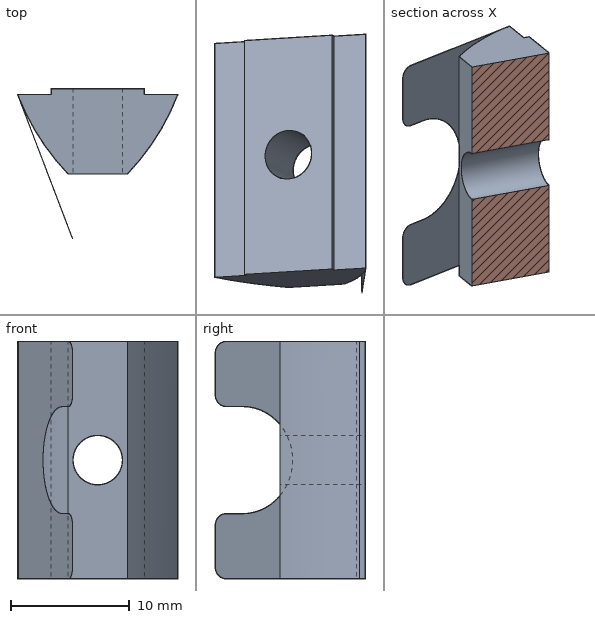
import cadquery as cq
import math

length = 20.0
body_half_width = 6.75
body_depth = 7.2
pad_half_width = 3.92
pad_height = 0.5
nose_half_width = 2.5
flank_radius = 20.0
hole_diameter = 4.15

leaf_thickness = 0.002
leaf_tip_x = -2.12
leaf_tip_y = -12.65
leaf_corner_radius = 1.0
slot_width = 9.0
slot_bottom_y = -6.12


def make_body():
    """Wedge with convex flanks, a raised pad and a through hole along Y."""
    profile = (
        cq.Workplane("XY")
        .moveTo(-pad_half_width, 0)
        .lineTo(pad_half_width, 0)
        .lineTo(pad_half_width, -pad_height)
        .lineTo(body_half_width, -pad_height)
        .radiusArc((nose_half_width, -body_depth), flank_radius)
        .lineTo(-nose_half_width, -body_depth)
        .radiusArc((-body_half_width, -pad_height), flank_radius)
        .lineTo(-pad_half_width, -pad_height)
        .close()
    )
    hole = (
        cq.Workplane("XZ")
        .center(0, length / 2)
        .circle(hole_diameter / 2)
        .extrude(body_depth)
    )
    return profile.extrude(length).cut(hole)


def make_leaf():
    """Flat leaf with a round-bottomed slot open at its free edge."""
    run_x = leaf_tip_x + body_half_width
    run_y = leaf_tip_y + pad_height
    leaf_length = math.hypot(run_x, run_y)
    slot_bottom = leaf_length * (slot_bottom_y + pad_height) / run_y
    slot_radius = slot_width / 2
    slot_center = slot_bottom + slot_radius

    leaf_plane = cq.Plane(
        origin=(-body_half_width, -pad_height, length / 2),
        xDir=(run_x, run_y, 0),
        normal=(-run_y, run_x, 0),
    )
    sheet = (
        cq.Workplane(leaf_plane)
        .rect(leaf_length, length)
        .extrude(leaf_thickness)
        .translate((run_x / 2, run_y / 2, 0))
    )
    slot = (
        cq.Workplane(leaf_plane)
        .moveTo(leaf_length, slot_radius)
        .lineTo(slot_center, slot_radius)
        .threePointArc((slot_bottom, 0), (slot_center, -slot_radius))
        .lineTo(leaf_length, -slot_radius)
        .close()
        .extrude(leaf_thickness)
    )
    free_edge = cq.selectors.DirectionMinMaxSelector(leaf_plane.xDir, True)
    across_thickness = cq.selectors.ParallelDirSelector(leaf_plane.zDir)
    return sheet.cut(slot).faces(free_edge).edges(across_thickness).fillet(leaf_corner_radius)


result = make_body().union(make_leaf())